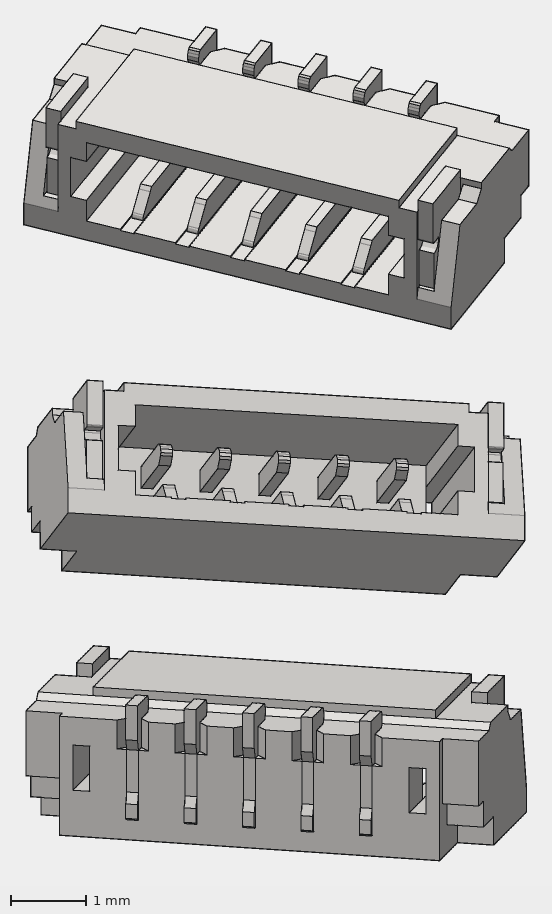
import cadquery as cq

LENGTH = 6.2
HALF_LENGTH = LENGTH / 2
DEPTH = 2.7
LIP_TOP = 1.85
SHOULDER_TOP = 1.73
REAR_TOP = 1.635
SLOPE_FRONT_Y = 1.905
SLOPE_REAR_Y = 1.995
LIP_HALF_WIDTH = 2.345

END_INNER_X = 2.605
END_REAR_Y = 2.54
UPPER_STEP_Y = 2.295
UPPER_STEP_Z = 0.745
LOWER_STEP_Y = 1.75
LOWER_STEP_Z = 0.39

CAVITY_HALF_WIDTH = 2.19
CAVITY_FLOOR = 0.305
CAVITY_ROOF = 1.55
CAVITY_DEPTH = 1.985
KEYWAY_HALF_WIDTH = 2.42
KEYWAY_BOTTOM = 0.63
KEYWAY_TOP = 1.25

NAIL_INNER_X = 2.605
NAIL_THICKNESS = 0.22
NAIL_SIDE_GAP = 0.01
NAIL_REAR_Y = 0.99
NAIL_TOP = 1.88
NAIL_BOTTOM = 0.51
NAIL_HEAD_Y = 0.09
NAIL_LEG_Y = 0.13
NAIL_HEAD_BOTTOM = 1.24
NAIL_LEG_TOP = 1.065
NAIL_NECK_RADIUS = 0.14
NAIL_HEAD_ROUND = 0.025
RIGHT_NAIL_FORWARD = 0.055
RIGHT_NAIL_RAISE = 0.02

POCKET_FLOOR = 1.49
POCKET_FLOOR_FRONT_Y = 0.29
POCKET_FLOOR_REAR_Y = 0.845
POCKET_REAR_FOOT_Z = 1.635
POCKET_FRONT_Z = 0.35

PIN_COUNT = 5
PIN_PITCH = 0.8
PIN_WIDTH = 0.16
PIN_REAR_Y = 2.75
PIN_BOTTOM = 0.285
SPINE_FRONT_Y = 2.355

FOOT_TIP_Y = 2.16
FOOT_TOP = 1.865
REAR_BEND_RISE = 0.15
UPPER_BEND_Z = 1.24
LOWER_BEND_Z = 0.66
REAR_CHAMFER = 0.025

UPPER_TINE_TIP_Y = 0.745
UPPER_TINE_TOP = 1.295
UPPER_TINE_BOTTOM = 1.0
LOWER_TINE_TIP_Y = 0.335
LOWER_TINE_TOP = 0.66

FOOT_NOSE = [(0.06, 0), (0.03, 0.02), (0.01, 0.055), (0, 0.1), (0, 0.16), (0.04, FOOT_TOP - REAR_TOP)]
UPPER_TINE_NOSE = [
    (0.15, 0),
    (0.1, 0.02),
    (0.04, 0.07),
    (0.01, 0.105),
    (0, 0.16),
    (0.02, 0.2),
    (0.135, UPPER_TINE_TOP - UPPER_TINE_BOTTOM),
]

RAMP_BOTTOM_Y = 0.36
RAMP_BOTTOM_Z = 0.36
RAMP_TOP_Y = 0.575
RAMP_TOP_Z = 0.6
LOWER_TINE_FLAT_Y = 0.62
TOE_MID_Y = 0.34
TOE_MID_Z = 0.33

GROOVE_WIDTH = 0.2
NOTCH_HALF_WIDTH = 0.22
NOTCH_DEPTH = 0.155

PIN_POSITIONS = [(i - (PIN_COUNT - 1) / 2) * PIN_PITCH for i in range(PIN_COUNT)]


def box(x_min, x_max, y_min, y_max, z_min, z_max):
    """Box between the given limits."""
    size = (x_max - x_min, y_max - y_min, z_max - z_min)
    return cq.Workplane("XY").box(*size, centered=False).translate((x_min, y_min, z_min))


def side_plate(points, x_min, x_max):
    """Closed (Y, Z) polygon extruded between two X positions."""
    return cq.Workplane("YZ").workplane(offset=x_min).polyline(points).close().extrude(x_max - x_min)


def on_both_ends(shape):
    """A +X end feature together with its mirror image at the -X end."""
    return shape.union(shape.mirror("YZ"))


def nose(tip_y, top_z, offsets):
    """Outline points of a faceted nose, from its top to its bottom."""
    return [(tip_y + behind, top_z - below) for behind, below in offsets]


def make_pin(x_center):
    outline = [
        *nose(FOOT_TIP_Y, FOOT_TOP, FOOT_NOSE),
        (SPINE_FRONT_Y, REAR_TOP),
        (SPINE_FRONT_Y, UPPER_TINE_TOP),
        *nose(UPPER_TINE_TIP_Y, UPPER_TINE_TOP, UPPER_TINE_NOSE),
        (SPINE_FRONT_Y, UPPER_TINE_BOTTOM),
        (SPINE_FRONT_Y, LOWER_TINE_TOP),
        (LOWER_TINE_FLAT_Y, LOWER_TINE_TOP),
        (RAMP_TOP_Y, RAMP_TOP_Z),
        (RAMP_BOTTOM_Y, RAMP_BOTTOM_Z),
    ]
    rear = [
        (PIN_REAR_Y - REAR_CHAMFER, PIN_BOTTOM),
        (PIN_REAR_Y, PIN_BOTTOM + REAR_CHAMFER),
        (PIN_REAR_Y, LOWER_BEND_Z - REAR_BEND_RISE),
        (DEPTH, LOWER_BEND_Z),
        (DEPTH, UPPER_BEND_Z),
        (PIN_REAR_Y, UPPER_BEND_Z + REAR_BEND_RISE),
        (PIN_REAR_Y, FOOT_TOP),
    ]
    sketch = (
        cq.Workplane("YZ")
        .polyline(outline)
        .threePointArc((TOE_MID_Y, TOE_MID_Z), (LOWER_TINE_TIP_Y, PIN_BOTTOM))
    )
    for point in rear:
        sketch = sketch.lineTo(*point)
    return sketch.close().extrude(PIN_WIDTH / 2, both=True).translate((x_center, 0, 0))


def make_nail(x_min):
    """Flat plate with a rounded relief in its front edge, between the head and the leg."""
    neck_y = NAIL_LEG_Y + NAIL_NECK_RADIUS
    return (
        cq.Workplane("YZ")
        .moveTo(NAIL_REAR_Y, NAIL_BOTTOM)
        .lineTo(NAIL_REAR_Y, NAIL_TOP)
        .lineTo(NAIL_HEAD_Y, NAIL_TOP)
        .lineTo(NAIL_HEAD_Y, NAIL_HEAD_BOTTOM + NAIL_HEAD_ROUND)
        .radiusArc((NAIL_HEAD_Y + NAIL_HEAD_ROUND, NAIL_HEAD_BOTTOM), -NAIL_HEAD_ROUND)
        .lineTo(neck_y, NAIL_HEAD_BOTTOM)
        .lineTo(neck_y, NAIL_LEG_TOP + NAIL_NECK_RADIUS)
        .radiusArc((NAIL_LEG_Y, NAIL_LEG_TOP), NAIL_NECK_RADIUS)
        .lineTo(NAIL_LEG_Y, NAIL_BOTTOM)
        .close()
        .extrude(NAIL_THICKNESS)
        .translate((x_min, 0, 0))
    )


def housing_block():
    shoulder_profile = [
        (0, 0),
        (DEPTH, 0),
        (DEPTH, REAR_TOP),
        (SLOPE_REAR_Y, REAR_TOP),
        (SLOPE_FRONT_Y, SHOULDER_TOP),
        (0, SHOULDER_TOP),
    ]
    lip = box(-LIP_HALF_WIDTH, LIP_HALF_WIDTH, 0, SLOPE_FRONT_Y, REAR_TOP, LIP_TOP)
    return side_plate(shoulder_profile, -HALF_LENGTH, HALF_LENGTH).union(lip)


def rear_end_steps():
    """Stepped material removed behind the +X end."""
    profile = [
        (LOWER_STEP_Y, 0),
        (LOWER_STEP_Y, LOWER_STEP_Z),
        (UPPER_STEP_Y, LOWER_STEP_Z),
        (UPPER_STEP_Y, UPPER_STEP_Z),
        (END_REAR_Y, UPPER_STEP_Z),
        (END_REAR_Y, REAR_TOP),
        (DEPTH, REAR_TOP),
        (DEPTH, 0),
    ]
    return side_plate(profile, END_INNER_X, HALF_LENGTH)


def mating_cavity():
    opening = box(
        -CAVITY_HALF_WIDTH, CAVITY_HALF_WIDTH, 0, CAVITY_DEPTH, CAVITY_FLOOR, CAVITY_ROOF
    )
    keyway = box(CAVITY_HALF_WIDTH, KEYWAY_HALF_WIDTH, 0, DEPTH, KEYWAY_BOTTOM, KEYWAY_TOP)
    return opening.union(on_both_ends(keyway))


def nail_pocket():
    """Sloped corner pocket at the +X end, with the deep slot that takes the nail."""
    profile = [
        (0, POCKET_FRONT_Z),
        (POCKET_FLOOR_FRONT_Y, POCKET_FLOOR),
        (POCKET_FLOOR_REAR_Y, POCKET_FLOOR),
        (NAIL_REAR_Y, POCKET_REAR_FOOT_Z),
        (NAIL_REAR_Y, SHOULDER_TOP),
        (0, SHOULDER_TOP),
    ]
    slot_outer_x = NAIL_INNER_X + NAIL_THICKNESS + NAIL_SIDE_GAP
    slot = box(NAIL_INNER_X, slot_outer_x, 0, NAIL_REAR_Y, NAIL_BOTTOM, SHOULDER_TOP)
    return side_plate(profile, NAIL_INNER_X, HALF_LENGTH).union(slot)


def floor_groove(x_center):
    half_width = GROOVE_WIDTH / 2
    return box(x_center - half_width, x_center + half_width, 0, CAVITY_DEPTH, PIN_BOTTOM, CAVITY_FLOOR)


def rear_notch(x_center):
    """Notch with flared sides in the rear wall, down to the upper bend of the pin."""
    outline = [
        (x_center - NOTCH_HALF_WIDTH, DEPTH),
        (x_center - PIN_WIDTH / 2, DEPTH - NOTCH_DEPTH),
        (x_center + PIN_WIDTH / 2, DEPTH - NOTCH_DEPTH),
        (x_center + NOTCH_HALF_WIDTH, DEPTH),
    ]
    return (
        cq.Workplane("XY")
        .workplane(offset=UPPER_BEND_Z)
        .polyline(outline)
        .close()
        .extrude(REAR_TOP - UPPER_BEND_Z)
    )


def make_housing(pins):
    housing = housing_block()
    housing = housing.cut(on_both_ends(rear_end_steps()))
    housing = housing.cut(mating_cavity())
    housing = housing.cut(on_both_ends(nail_pocket()))
    for x_center, pin in zip(PIN_POSITIONS, pins):
        housing = housing.cut(floor_groove(x_center))
        housing = housing.cut(rear_notch(x_center))
        housing = housing.cut(pin)
    return housing


pins = [make_pin(x_center) for x_center in PIN_POSITIONS]
housing = make_housing(pins)
left_nail = make_nail(-NAIL_INNER_X - NAIL_THICKNESS)
right_nail = make_nail(NAIL_INNER_X).translate((0, -RIGHT_NAIL_FORWARD, RIGHT_NAIL_RAISE))
nails = [left_nail, right_nail]

result = cq.Compound.makeCompound([
    housing.val(),
    *[pin.val() for pin in pins],
    *[nail.val() for nail in nails],
])